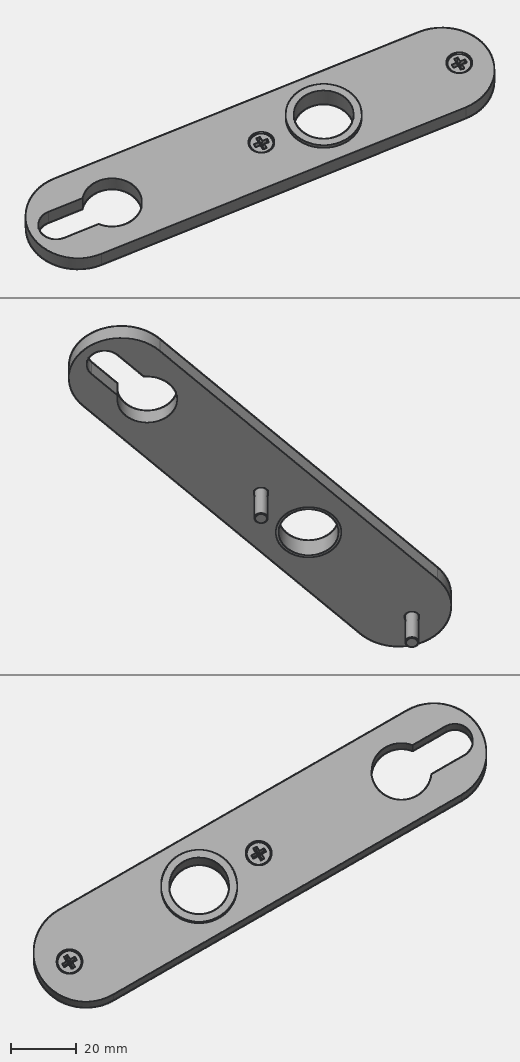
import cadquery as cq

plate_length = 156.0
plate_width = 32.0
plate_thickness = 5.8

overall_height = 19.2
shank_projection = 12.0
flange_height = overall_height - shank_projection - plate_thickness
flange_diameter = 23.2
sleeve_diameter = 20.0
bore_diameter = 18.3
bushing_y = 21.7

keyhole_spacing = 72.0
keyhole_y = bushing_y - keyhole_spacing
keyhole_diameter = bore_diameter
slot_width = 10.9
slot_end_y = -74.9
slot_arc_y = slot_end_y + slot_width / 2

screw_ys = (67.9, 0.5)
shank_diameter = 4.0
clearance_diameter = 4.5
head_diameter = 7.2
countersink_diameter = 8.0
tip_diameter = 3.6
tip_chamfer = (shank_diameter - tip_diameter) / 2
head_recess = (countersink_diameter - head_diameter) / 2
countersink_depth = (countersink_diameter - clearance_diameter) / 2
head_height = (head_diameter - shank_diameter) / 2
head_top = plate_thickness - head_recess

cross_span = 4.5
cross_width = 1.2
cross_depth = 1.2
cross_draft = 20.0


def cylinder(diameter, bottom, top, y=0.0):
    """Upright cylinder on the plate's centre line."""
    return cq.Workplane("XY", origin=(0, y, bottom)).circle(diameter / 2).extrude(top - bottom)


def countersunk_hole(y):
    """Cutter for a clearance hole with a conical mouth at the plate's top face."""
    cone = (
        cq.Workplane("XZ", origin=(0, y, plate_thickness))
        .polyline([
            (0, 0),
            (countersink_diameter / 2, 0),
            (clearance_diameter / 2, -countersink_depth),
            (0, -countersink_depth),
        ])
        .close()
        .revolve(360, (0, 0), (0, 1))
    )
    return cylinder(clearance_diameter, 0, plate_thickness, y).union(cone)


def keyhole():
    """Cutter for the keyhole, through the whole plate."""
    slot = (
        cq.Workplane("XY", origin=(0, (keyhole_y + slot_arc_y) / 2, 0))
        .slot2D(keyhole_y - slot_arc_y + slot_width, slot_width, 90)
        .extrude(plate_thickness)
    )
    return cylinder(keyhole_diameter, 0, plate_thickness, keyhole_y).union(slot)


def make_plate():
    body = cq.Workplane("XY").slot2D(plate_length, plate_width, 90).extrude(plate_thickness)
    body = body.cut(cylinder(sleeve_diameter, 0, plate_thickness, bushing_y))
    body = body.cut(keyhole())
    for y in screw_ys:
        body = body.cut(countersunk_hole(y))
    return body


def make_bushing():
    flange_top = plate_thickness + flange_height
    sleeve = cylinder(sleeve_diameter, 0, plate_thickness, bushing_y)
    flange = cylinder(flange_diameter, plate_thickness, flange_top, bushing_y)
    return sleeve.union(flange).cut(cylinder(bore_diameter, 0, flange_top, bushing_y))


def make_screw(y):
    """Screw with a conical head sunk just below the plate's top face."""
    body = (
        cq.Workplane("XZ", origin=(0, y, 0))
        .polyline([
            (0, -shank_projection),
            (tip_diameter / 2, -shank_projection),
            (shank_diameter / 2, -shank_projection + tip_chamfer),
            (shank_diameter / 2, head_top - head_height),
            (head_diameter / 2, head_top),
            (0, head_top),
        ])
        .close()
        .revolve(360, (0, 0), (0, 1))
    )
    cross_plane = cq.Workplane("XY", origin=(0, y, head_top))
    for arm_length, arm_breadth in ((cross_span, cross_width), (cross_width, cross_span)):
        body = body.cut(cross_plane.rect(arm_length, arm_breadth).extrude(-cross_depth, taper=cross_draft))
    return body


plate = make_plate()
bushing = make_bushing()
screws = [make_screw(y) for y in screw_ys]

result = cq.Compound.makeCompound([plate.val(), bushing.val(), *[screw.val() for screw in screws]])